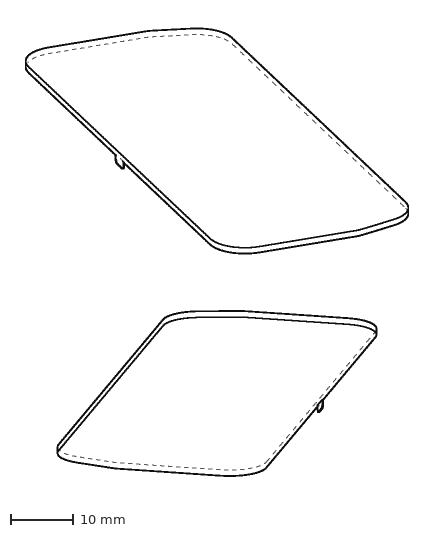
import cadquery as cq
import math

length = 87.3
width = 34.6
plate_thickness = 1.05
corner_radius = 6.0

taper_angle = math.radians(15)
taper_depth = 11.2
taper_inset = taper_depth * math.tan(taper_angle)
taper_blend_radius = 5.0

total_height = 2.4
tab_width = 3.2
tab_thickness = 0.2
tab_corner_radius = 0.6


def make_plate():
    half_length = length / 2
    half_width = width / 2
    taper_start_y = half_width - taper_depth
    plate = (
        cq.Workplane("XY")
        .workplane(offset=-plate_thickness)
        .polyline([
            (-half_length, -half_width),
            (half_length, -half_width),
            (half_length, taper_start_y),
            (half_length - taper_inset, half_width),
            (-half_length + taper_inset, half_width),
            (-half_length, taper_start_y),
        ])
        .close()
        .extrude(plate_thickness)
    )
    plate = plate.edges("|Z and (<Y or >Y)").fillet(corner_radius)
    bend_margin = 0.1
    bends = cq.selectors.BoxSelector(
        (-length, taper_start_y - bend_margin, -total_height),
        (length, taper_start_y + bend_margin, total_height),
    )
    return plate.edges("|Z").edges(bends).fillet(taper_blend_radius)


def make_tab():
    return (
        cq.Workplane("XY")
        .box(tab_width, tab_thickness, total_height, centered=(True, False, False))
        .edges("|Y and <Z")
        .fillet(tab_corner_radius)
        .translate((0, -width / 2, -total_height))
    )


result = make_plate().union(make_tab())